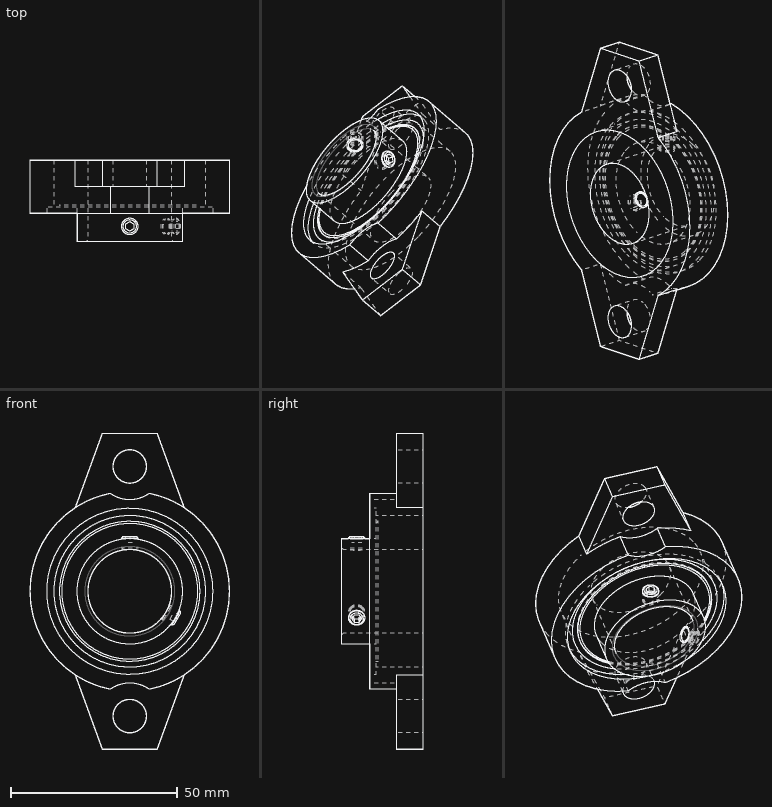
import cadquery as cq
import math


housing_radius = 30.0
housing_depth = 16.1
flange_length = 95.0
flange_thickness = 8.0
flange_end_width = 16.5
flange_side_angle = 20.0
bolt_offset = 37.5
bolt_hole_diameter = 10.0
bolt_clearance_radius = 10.0
recess_radius = 25.0
recess_depth = 2.0

overall_depth = 24.5
bearing_radius = 22.8
groove_outer_radius = 21.1
groove_inner_radius = 20.4
groove_depth = 0.5
sleeve_radius = 15.9
bore_radius = 12.5
bore_rounding = 0.95

screw_angles = (90.0, -30.0)
screw_radius = 2.5
screw_chamfer = 0.5
screw_head_reach = 16.5
screw_setback = 3.9
socket_width = 2.5
socket_depth = 1.9

bearing_face_depth = housing_depth - recess_depth


def cylinder(radius, depth, start=0.0):
    """Cylinder on the Y axis that runs forward (-Y) from y = -start."""
    return cq.Workplane("XZ", origin=(0, -start, 0)).circle(radius).extrude(depth)


def make_flange():
    """Plate that narrows towards both ends, without its bolt holes."""
    half_length = flange_length / 2
    half_end = flange_end_width / 2
    half_middle = half_end + half_length * math.tan(math.radians(flange_side_angle))
    outline = [
        (half_middle, 0),
        (half_end, half_length),
        (-half_end, half_length),
        (-half_middle, 0),
        (-half_end, -half_length),
        (half_end, -half_length),
    ]
    return cq.Workplane("XZ").polyline(outline).close().extrude(flange_thickness)


def make_housing():
    bolt_places = [(0, bolt_offset), (0, -bolt_offset)]
    clearances = (
        cq.Workplane("XZ", origin=(0, -flange_thickness, 0))
        .pushPoints(bolt_places)
        .circle(bolt_clearance_radius)
        .extrude(housing_depth)
    )
    bolt_holes = (
        cq.Workplane("XZ").pushPoints(bolt_places).circle(bolt_hole_diameter / 2).extrude(flange_thickness)
    )
    body = make_flange().union(cylinder(housing_radius, housing_depth))
    seat = cylinder(bearing_radius, housing_depth)
    recess = cylinder(recess_radius, recess_depth, start=bearing_face_depth)
    return body.cut(clearances).cut(bolt_holes).cut(seat).cut(recess)


def make_bearing_rings():
    """Outer ring, shield set inside a V groove and long inner sleeve, turned about the Y axis."""
    profile = [
        (bore_radius, 0),
        (bearing_radius, 0),
        (bearing_radius, -bearing_face_depth),
        (groove_outer_radius, -bearing_face_depth),
        (groove_outer_radius, groove_depth - bearing_face_depth),
        (groove_inner_radius, -bearing_face_depth),
        (sleeve_radius, -bearing_face_depth),
        (sleeve_radius, -overall_depth),
        (bore_radius, -overall_depth),
    ]
    rings = cq.Workplane("XY").polyline(profile).close().revolve(360, (0, 0, 0), (0, 1, 0))
    bore_front_edge = rings.faces("<Y").edges(cq.selectors.RadiusNthSelector(0))
    return bore_front_edge.fillet(bore_rounding)


def turn_to_screw(shape, angle):
    """Move a shape modelled along +Z at the axis to a set screw place."""
    return shape.rotate((0, 0, 0), (0, 1, 0), 90 - angle).translate((0, -housing_depth - screw_setback, 0))


def make_set_screw():
    """Set screw along +Z, with its flat tip touching the bore and a hexagon socket on top."""
    socket_corner_circle = socket_width / math.cos(math.radians(30))
    return (
        cq.Workplane("XY", origin=(0, 0, bore_radius))
        .circle(screw_radius)
        .extrude(screw_head_reach - bore_radius)
        .faces(">Z or <Z").chamfer(screw_chamfer)
        .faces(">Z").workplane(origin=(0, 0, 0)).transformed(rotate=(0, 0, 90))
        .polygon(6, socket_corner_circle).cutBlind(-socket_depth)
    )


def make_bearing():
    bearing = make_bearing_rings()
    screw_hole = cq.Workplane("XY").circle(screw_radius).extrude(screw_head_reach)
    for angle in screw_angles:
        bearing = bearing.cut(turn_to_screw(screw_hole, angle))
        bearing = bearing.union(turn_to_screw(make_set_screw(), angle))
    return bearing


housing = make_housing()
bearing = make_bearing()

result = cq.Compound.makeCompound([housing.val(), bearing.val()])